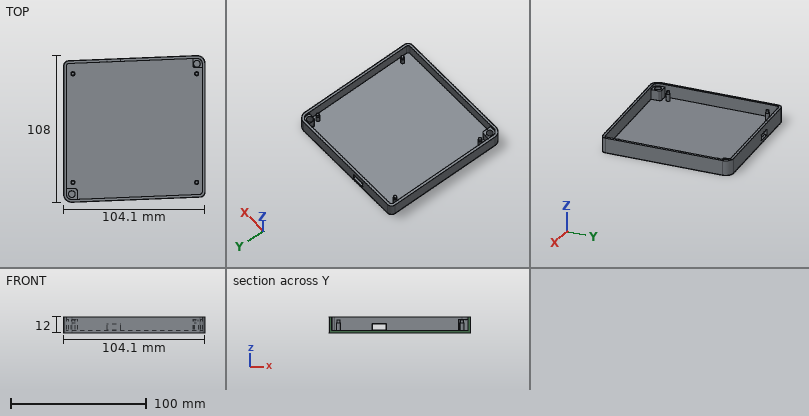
import cadquery as cq
import math

width = 104.1
depth = 108.0
height = 12.0
wall = 2.0
floor = 2.0
skew_angle = 2.3
large_radius = 6.0
small_radius = 4.0

boss_top = height - wall
boss_hole_diameter = 5.0
back_boss_reach = 2.8
front_boss_reach = 4.0
boss_edge_radius = 1.5

pin_diameter = 3.0
pin_tip_diameter = 2.3
pin_shoulder_height = 5.4
pin_tip_height = 2.0
pin_pitch_x = 91.0
pin_pitch_y = 79.9
pin_center_x = 0.3
pin_center_y = 0.6

slot_left = -20.2
slot_length = 10.2
slot_bottom = 2.3
slot_height = 4.5

skew = math.radians(skew_angle)
corner_x = width / 2 - large_radius
corner_y = depth / 2 - large_radius


def skewed_prism(inset, bottom):
    """Rounded skewed prism, inset from the outer walls, reaching up to the rim."""
    half_width = width / 2 - inset
    large = large_radius - inset
    small = small_radius - inset

    def back_wall_y(x):
        return corner_y + large / math.cos(skew) + (x - corner_x) * math.tan(skew)

    right_y = back_wall_y(half_width)
    left_y = back_wall_y(-half_width)
    corners = [
        (half_width, right_y),
        (-half_width, left_y),
        (-half_width, -right_y),
        (half_width, -left_y),
    ]
    prism = (
        cq.Workplane("XY")
        .workplane(offset=bottom)
        .polyline(corners)
        .close()
        .extrude(height - bottom)
    )
    radii = [large, small, large, small]
    for (x, y), radius in zip(corners, radii):
        corner_edge = cq.selectors.NearestToPointSelector((x, y, (bottom + height) / 2))
        prism = prism.edges("|Z").edges(corner_edge).fillet(radius)
    return prism


def corner_boss(side, reach, outline):
    """Drilled boss in the (+X, +Y) corner for side 1, (-X, -Y) for side -1."""
    size = 2 * large_radius
    shift = size / 2 - reach
    block = (
        cq.Workplane("XY")
        .workplane(offset=floor)
        .center(side * (corner_x + shift), side * (corner_y + shift))
        .rect(size, size)
        .extrude(boss_top - floor)
        .edges("|Z")
        .fillet(boss_edge_radius)
    )
    hole = (
        cq.Workplane("XY")
        .workplane(offset=floor)
        .center(side * corner_x, side * corner_y)
        .circle(boss_hole_diameter / 2)
        .extrude(boss_top - floor)
    )
    return block.intersect(outline).cut(hole)


def pin_cylinders(diameter, length):
    """Cylinders standing on the floor at the four pin positions."""
    return (
        cq.Workplane("XY")
        .workplane(offset=floor)
        .center(pin_center_x, pin_center_y)
        .rarray(pin_pitch_x, pin_pitch_y, 2, 2)
        .circle(diameter / 2)
        .extrude(length)
    )


def wall_slot():
    """Cutter that starts inside the tray and passes out through the +Y wall."""
    cutter = cq.Workplane("XY").box(slot_length, depth / 2, slot_height, centered=False)
    return cutter.translate((slot_left, depth / 4, slot_bottom))


outline = skewed_prism(0, 0)
result = outline.cut(skewed_prism(wall, floor))
result = result.union(corner_boss(1, back_boss_reach, outline))
result = result.union(corner_boss(-1, front_boss_reach, outline))
result = result.union(pin_cylinders(pin_diameter, pin_shoulder_height))
result = result.union(pin_cylinders(pin_tip_diameter, pin_shoulder_height + pin_tip_height))
result = result.cut(wall_slot())